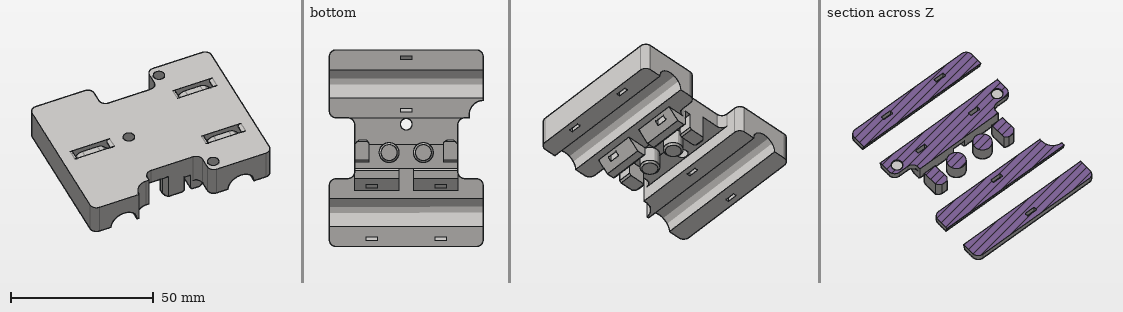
import cadquery as cq
import math

length = 69.0
width = 54.0
plate_height = 12.0
waist_width = 36.15
half_waist = waist_width / 2
notch_length = 21.25
corner_radius = 2.5

groove_radius = 5.0
groove_y = 22.5

corner_notch_radius = 4.9
corner_notch_y = -11.8

hole_diameter = 4.0
blind_hole_depth = 10.0
blind_hole_x = 23.05
blind_hole_y = 13.6
through_hole_y = -8.4

tie_width = 4.0
pair_spacing = 24.3
mouth_half_length = 7.6
throat_half_length = 6.5
bridge_top = 10.0
bridge_flat_half_length = 2.9
bridge_radius = 3.25
lip_radius = mouth_half_length - throat_half_length
slope_angle = 45.0
leg_inner_offset = 8.6
leg_outer_offset = 9.9

anchor_drop = 4.0
edge_chamfer = 0.7
pad_front_y = -3.0
pad_back_y = 4.75
pad_inner_x = 13.0
pad_outer_chamfer = 1.6
left_pad_bevel = (1.05, 1.3)
right_pad_bevel = (1.5, 1.0)
pin_diameter = 7.0
pin_x = 6.0
pin_y = 1.5
slit_back_y = 7.05
pocket_roof = 3.1
recess_roof = 5.9
wedge_tip_y = 10.6
wedge_root_y = 14.85


def box(x_range, y_range, z_range):
    """Axis-aligned block between the given limits."""
    size = [high - low for low, high in (x_range, y_range, z_range)]
    corner = (x_range[0], y_range[0], z_range[0])
    return cq.Workplane("XY").box(*size, centered=False).translate(corner)


def make_block():
    """Rounded, waisted block as deep as the plate and anchor together, cut by the rod grooves."""
    full_height = (-anchor_drop, plate_height)
    block = box((-width / 2, width / 2), (-length / 2, length / 2), full_height)
    notch_y = (-notch_length / 2, notch_length / 2)
    for notch_x in [(-width / 2, -half_waist), (half_waist, width / 2)]:
        block = block.cut(box(notch_x, notch_y, full_height))
    block = block.edges("|Z").fillet(corner_radius)
    grooves = (
        cq.Workplane("YZ")
        .pushPoints([(-groove_y, 0), (groove_y, 0)])
        .circle(groove_radius)
        .extrude(width / 2, both=True)
    )
    return block.cut(grooves)


def make_corner_notch():
    """Round clearance on the +X edge, opened straight into the waist notch."""
    edge_x = width / 2
    round_part = (
        cq.Workplane("XY")
        .center(edge_x, corner_notch_y)
        .circle(corner_notch_radius)
        .extrude(plate_height)
    )
    opening = box((edge_x - corner_notch_radius, edge_x), (corner_notch_y, 0), (0, plate_height))
    return round_part.union(opening)


def make_tie_passage(x, y):
    """Arched passage: rounded mouth at the top face, bridge in the middle, a leg down each side."""
    sine = math.sin(math.radians(slope_angle))
    cosine = math.cos(math.radians(slope_angle))
    slope = sine / cosine

    lip_z = plate_height - lip_radius
    lip_end = (mouth_half_length - lip_radius * sine, lip_z - lip_radius * cosine)
    outer_bend_z = lip_end[1] - (leg_outer_offset - lip_end[0]) * slope

    shoulder_mid = math.radians(slope_angle / 2)
    shoulder_z = bridge_top - bridge_radius
    shoulder_middle = (
        bridge_flat_half_length + bridge_radius * math.sin(shoulder_mid),
        shoulder_z + bridge_radius * math.cos(shoulder_mid),
    )
    shoulder_end = (bridge_flat_half_length + bridge_radius * sine, shoulder_z + bridge_radius * cosine)
    inner_bend_z = shoulder_end[1] - (leg_inner_offset - shoulder_end[0]) * slope

    half_profile = (
        cq.Workplane("YZ")
        .moveTo(0, bridge_top)
        .lineTo(bridge_flat_half_length, bridge_top)
        .threePointArc(shoulder_middle, shoulder_end)
        .lineTo(leg_inner_offset, inner_bend_z)
        .lineTo(leg_inner_offset, -anchor_drop)
        .lineTo(leg_outer_offset, -anchor_drop)
        .lineTo(leg_outer_offset, outer_bend_z)
        .lineTo(*lip_end)
        .threePointArc((throat_half_length, lip_z), (mouth_half_length, plate_height))
        .lineTo(0, plate_height)
        .close()
    )
    half = half_profile.extrude(tie_width / 2, both=True)
    return half.union(half.mirror("XZ")).translate((x, y, 0))


def make_pad(side, bevel):
    """Block at one side of the waist, beside the belt slit; bevel is its inner front corner."""
    bevel_x, bevel_y = bevel
    outline = [
        (side * half_waist, pad_back_y),
        (side * half_waist, pad_front_y + pad_outer_chamfer),
        (side * (half_waist - pad_outer_chamfer), pad_front_y),
        (side * (pad_inner_x + bevel_x), pad_front_y),
        (side * pad_inner_x, pad_front_y + bevel_y),
        (side * pad_inner_x, pad_back_y),
    ]
    pad = cq.Workplane("XY", origin=(0, 0, -anchor_drop)).polyline(outline).close()
    pad = pad.extrude(anchor_drop + recess_roof)
    return pad.faces("<Z").edges("<Y or >Y").chamfer(edge_chamfer)


def make_pin(side):
    """Round pin that the belt loops around."""
    pin = cq.Workplane("XY", origin=(side * pin_x, pin_y, -anchor_drop)).circle(pin_diameter / 2)
    return pin.extrude(anchor_drop + recess_roof).faces("<Z").chamfer(edge_chamfer)


def make_wedge(side):
    """Half of the sloped rib that forms the far wall of the belt slit."""
    profile = [
        (wedge_root_y, 0),
        (wedge_tip_y, -anchor_drop),
        (slit_back_y + edge_chamfer, -anchor_drop),
        (slit_back_y, edge_chamfer - anchor_drop),
        (slit_back_y, 0),
    ]
    inner_x = pin_x - pin_diameter / 2
    wedge = cq.Workplane("YZ").polyline(profile).close().extrude(half_waist - inner_x)
    wedge = wedge.translate((inner_x, 0, 0))
    return wedge if side > 0 else wedge.mirror("YZ")


def make_underside_clearance():
    """Everything removed below the plate, with the pads, pins and wedges left standing."""
    all_x = (-width / 2, width / 2)
    recess_back_y = pad_front_y + pad_outer_chamfer
    clearance = box(all_x, (-length / 2, length / 2), (-anchor_drop, 0))
    recess = box(all_x, (-notch_length / 2, recess_back_y), (-anchor_drop, recess_roof))
    pocket = box((-pad_inner_x, pad_inner_x), (recess_back_y, slit_back_y), (-anchor_drop, pocket_roof))
    slit = box((-half_waist, half_waist), (pad_back_y, slit_back_y), (-anchor_drop, pocket_roof))
    clearance = clearance.union(recess).union(pocket).union(slit)
    for side, bevel in [(-1, left_pad_bevel), (1, right_pad_bevel)]:
        clearance = clearance.cut(make_pad(side, bevel)).cut(make_pin(side)).cut(make_wedge(side))
    return clearance


result = make_block().cut(make_underside_clearance()).cut(make_corner_notch())

for tie_x, tie_y in [(-pair_spacing / 2, groove_y), (pair_spacing / 2, groove_y), (0, -groove_y)]:
    result = result.cut(make_tie_passage(tie_x, tie_y))

top_face = cq.Workplane("XY", origin=(0, 0, plate_height))
blind_holes = (
    top_face.pushPoints([(-blind_hole_x, blind_hole_y), (blind_hole_x, blind_hole_y)])
    .circle(hole_diameter / 2)
    .extrude(-blind_hole_depth)
)
through_hole = top_face.center(0, through_hole_y).circle(hole_diameter / 2).extrude(-plate_height)
result = result.cut(blind_holes).cut(through_hole)